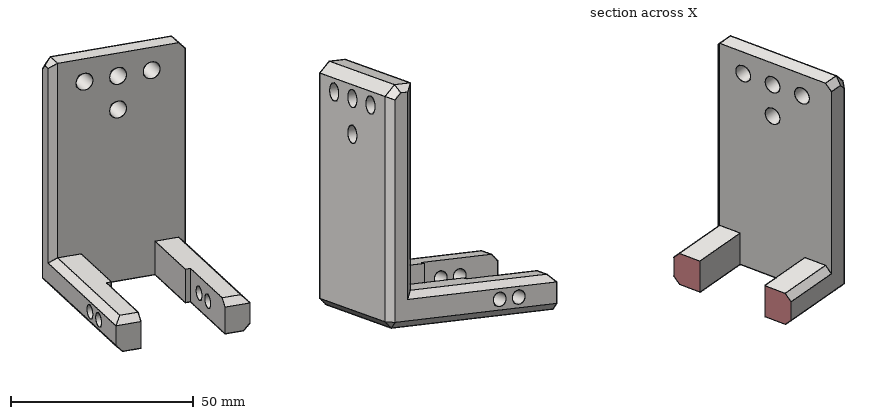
import cadquery as cq

length = 53.0
width = 40.0
height = 68.0

plate_thickness = 8.0
arm_height = 10.0
top_bevel = 3.0
edge_chamfer = 2.0

root_gap = 22.0
end_gap = 25.0
gap_step_x = 29.0

arm_hole_diameter = 4.0
arm_hole_z = arm_height / 2
arm_hole_xs = (35.0, 41.0)

plate_hole_diameter = 5.0
plate_hole_pitch = 10.0
top_row_drop = 6.85
top_row_z = height - top_row_drop
top_row_count = 3

half_width = width / 2
tolerance = 0.01


def l_body():
    """Solid L profile across the full width, before the arms are separated."""
    return (
        cq.Workplane("XZ", origin=(0, half_width, 0))
        .moveTo(0, 0)
        .lineTo(length, 0)
        .lineTo(length, arm_height)
        .lineTo(plate_thickness, arm_height)
        .lineTo(plate_thickness, height)
        .lineTo(top_bevel, height)
        .lineTo(0, height - top_bevel)
        .close()
        .extrude(width)
    )


def is_chamfered(edge):
    """Tell whether an edge of the plain L body carries the edge chamfer."""
    mid = edge.Center()
    on_end_face = abs(mid.x - length) < tolerance
    if abs(mid.y) < tolerance:
        outer_bottom = mid.x < tolerance and mid.z < tolerance
        arm_end_top = on_end_face and abs(mid.z - arm_height) < tolerance
        return outer_bottom or arm_end_top
    plate_inner_edge = abs(mid.x - plate_thickness) < tolerance
    return not on_end_face and not (mid.y > 0 and plate_inner_edge)


def chamfer_edges(body):
    edges = [edge for edge in body.edges().vals() if is_chamfered(edge)]
    return body.newObject(edges).chamfer(edge_chamfer)


def arm_opening(start_x, gap):
    """Cutter of the given width from start_x out past the arm ends."""
    return (
        cq.Workplane("XY", origin=(start_x, 0, 0))
        .box(length - start_x, gap, arm_height, centered=(False, True, False))
    )


def arm_holes():
    return (
        cq.Workplane("XZ", origin=(0, half_width, 0))
        .pushPoints([(x, arm_hole_z) for x in arm_hole_xs])
        .circle(arm_hole_diameter / 2)
        .extrude(width)
    )


def plate_holes():
    """A row of holes across the width, plus one hole a pitch below its middle."""
    middle = (top_row_count - 1) / 2
    points = [((i - middle) * plate_hole_pitch, top_row_z) for i in range(top_row_count)]
    points.append((0, top_row_z - plate_hole_pitch))
    return (
        cq.Workplane("YZ")
        .pushPoints(points)
        .circle(plate_hole_diameter / 2)
        .extrude(plate_thickness)
    )


result = (
    chamfer_edges(l_body())
    .cut(arm_opening(plate_thickness, root_gap))
    .cut(arm_opening(gap_step_x, end_gap))
    .cut(arm_holes())
    .cut(plate_holes())
)